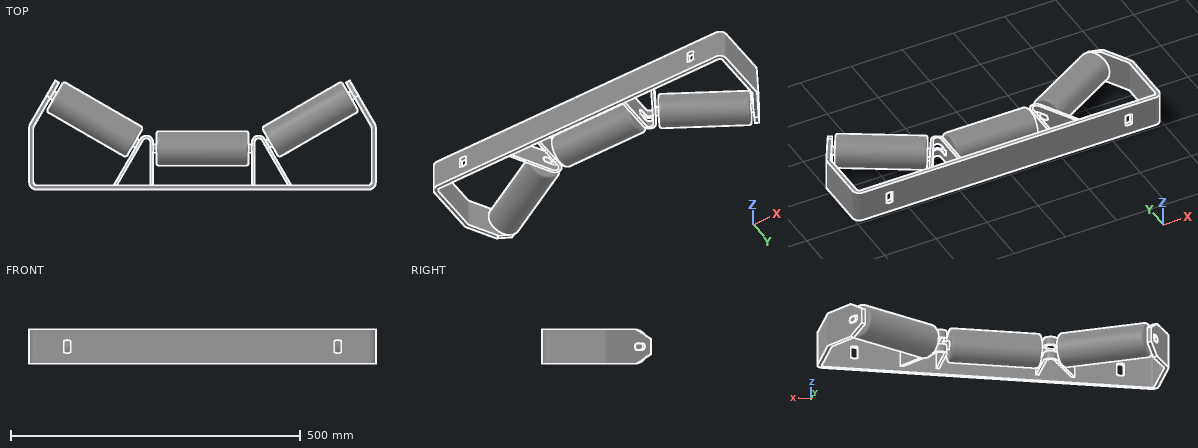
import cadquery as cq
import math

LENGTH = 600.0
FRAME_DEPTH = 189.0
FRAME_HEIGHT = 60.0
FRAME_THICKNESS = 8.0
BEND_INNER_RADIUS = 5.5
BEND_OUTER_RADIUS = BEND_INNER_RADIUS + FRAME_THICKNESS
ARM_BEND_Y = 110.5
ARM_TIP_HEIGHT = 26.5
ARM_TAPER_LENGTH = 30.0

MOUNT_HOLE_X = 234.0
MOUNT_HOLE_DIAMETER = 23.0
MOUNT_HOLE_WIDTH = 12.5

TILT = 30.0
TILT_SIN = math.sin(math.radians(TILT))
TILT_COS = math.cos(math.radians(TILT))
TILT_TAN = TILT_SIN / TILT_COS

ROLLER_DIAMETER = 60.0
ROLLER_LENGTH = 159.5
ROLLER_EDGE_FILLET = 5.0
AXLE_DIAMETER = 15.0
AXLE_STUB_LENGTH = 5.5
AXLE_TIP_WIDTH = 10.0
CENTRE_ROLLER_Y = 71.5
SUPPORT_SPAN = ROLLER_LENGTH + 2 * AXLE_STUB_LENGTH

AXLE_SLOT_WIDTH = 12.0
AXLE_SLOT_LENGTH = 20.5
AXLE_SLOT_DROP = 2.0
AXLE_SLOT_BOTTOM = AXLE_SLOT_LENGTH / 2 - AXLE_SLOT_DROP
ARM_AXLE_Y = 168.0

BRACKET_THICKNESS = 5.0
BRACKET_HEIGHT = 40.0
BRACKET_TOP_Y = 93.5


def arm_outer_x(y):
    """X of the left arm's outer face at height y."""
    return -LENGTH / 2 + (y - ARM_BEND_Y) * TILT_TAN


X_AXIS = cq.Vector(1, 0, 0)
LEFT_AXIS = cq.Vector(TILT_COS, -TILT_SIN, 0)
ARM_DIRECTION = cq.Vector(TILT_SIN, TILT_COS, 0)
ARM_AXLE_POINT = cq.Vector(arm_outer_x(ARM_AXLE_Y), ARM_AXLE_Y, 0)
LEFT_ROLLER_CENTRE = ARM_AXLE_POINT + LEFT_AXIS * (FRAME_THICKNESS + SUPPORT_SPAN / 2)
LEFT_ROLLER_INNER_END = LEFT_ROLLER_CENTRE + LEFT_AXIS * (SUPPORT_SPAN / 2)
CENTRE_ROLLER_CENTRE = cq.Vector(0, CENTRE_ROLLER_Y, 0)
CENTRE_ROLLER_LEFT_END = CENTRE_ROLLER_CENTRE - X_AXIS * (SUPPORT_SPAN / 2)

AXLE_END_GAP = CENTRE_ROLLER_LEFT_END.x - LEFT_ROLLER_INNER_END.x
BRACKET_OUTER_RADIUS = (
    (AXLE_END_GAP * TILT_COS + (LEFT_ROLLER_INNER_END.y - BRACKET_TOP_Y) * TILT_SIN)
    / (1 + TILT_COS - TILT_SIN)
)
BRACKET_INNER_RADIUS = BRACKET_OUTER_RADIUS - BRACKET_THICKNESS
BRACKET_BEND_X = CENTRE_ROLLER_LEFT_END.x - BRACKET_OUTER_RADIUS
BRACKET_BEND_Y = BRACKET_TOP_Y - BRACKET_OUTER_RADIUS


def mirrored(shape):
    """The copy of a shape on the other side of the YZ plane."""
    return shape.mirror("YZ")


def plane_across(axis, point):
    """Plane square to a horizontal axis, with its local x along Z."""
    return cq.Plane(origin=point.toTuple(), xDir=(0, 0, 1), normal=axis.toTuple())


def centred_cylinder(diameter, length):
    return cq.Workplane("XY", origin=(0, 0, -length / 2)).circle(diameter / 2).extrude(length)



def make_roller(centre, axis, start_tip_length, end_tip_length):
    """Roller with its axle along the given axis and each flattened tip filling its support."""
    shell = centred_cylinder(ROLLER_DIAMETER, ROLLER_LENGTH).edges().fillet(ROLLER_EDGE_FILLET)
    stubs = centred_cylinder(AXLE_DIAMETER, SUPPORT_SPAN)
    axle_length = SUPPORT_SPAN + start_tip_length + end_tip_length
    axle = cq.Workplane("XY").circle(AXLE_DIAMETER / 2).extrude(axle_length)
    flats = cq.Workplane("XY").rect(AXLE_TIP_WIDTH, AXLE_DIAMETER).extrude(axle_length)
    flat_axle = axle.intersect(flats).translate((0, 0, -SUPPORT_SPAN / 2 - start_tip_length))
    roller = shell.union(stubs).union(flat_axle)
    return roller.val().moved(plane_across(axis, centre).location)



def frame_strip():
    """Bent strip without holes or tapers."""
    half = LENGTH / 2
    inner_half = half - FRAME_THICKNESS
    inner_bend_y = ARM_BEND_Y - FRAME_THICKNESS * math.tan(math.radians(TILT / 2))
    tip_outer_x = arm_outer_x(FRAME_DEPTH)
    left_outline = [
        (-half, 0),
        (-half, ARM_BEND_Y),
        (tip_outer_x, FRAME_DEPTH),
        (tip_outer_x + FRAME_THICKNESS * TILT_COS, FRAME_DEPTH - FRAME_THICKNESS * TILT_SIN),
        (-inner_half, inner_bend_y),
        (-inner_half, FRAME_THICKNESS),
    ]
    right_outline = [(-x, y) for x, y in reversed(left_outline)]
    strip = cq.Workplane("XY").polyline(left_outline + right_outline).close()
    strip = strip.extrude(FRAME_HEIGHT / 2, both=True)

    outer_bends = [(half, 0), (half, ARM_BEND_Y)]
    inner_bends = [(inner_half, FRAME_THICKNESS), (inner_half, inner_bend_y)]
    for bends, radius in ((outer_bends, BEND_OUTER_RADIUS), (inner_bends, BEND_INNER_RADIUS)):
        for x, y in bends:
            for side in (-1, 1):
                corner = cq.selectors.NearestToPointSelector((side * x, y, 0))
                strip = strip.edges("|Z").edges(corner).fillet(radius)
    return strip


def arm_taper_cutters():
    """Wedges that taper the tip of the left arm, above and below."""
    tip = cq.Vector(arm_outer_x(FRAME_DEPTH), FRAME_DEPTH, 0)
    tip_plane = cq.Plane(origin=tip.toTuple(), xDir=ARM_DIRECTION.toTuple(), normal=LEFT_AXIS.toTuple())
    wedge = (
        cq.Workplane(tip_plane)
        .moveTo(0, ARM_TIP_HEIGHT / 2)
        .lineTo(0, FRAME_HEIGHT / 2)
        .lineTo(-ARM_TAPER_LENGTH, FRAME_HEIGHT / 2)
        .close()
        .extrude(FRAME_THICKNESS)
    )
    return [wedge, wedge.mirror("XY")]


def arm_slot_cutter():
    centre = ARM_AXLE_POINT + ARM_DIRECTION * AXLE_SLOT_DROP
    slot = cq.Workplane(plane_across(LEFT_AXIS, centre)).slot2D(AXLE_SLOT_LENGTH, AXLE_SLOT_WIDTH, 90)
    return slot.extrude(FRAME_THICKNESS)


def mount_hole_cutter():
    hole = cq.Workplane("XZ").circle(MOUNT_HOLE_DIAMETER / 2).extrude(-FRAME_THICKNESS)
    sides = cq.Workplane("XY").box(MOUNT_HOLE_WIDTH, 2 * FRAME_THICKNESS, MOUNT_HOLE_DIAMETER)
    return hole.intersect(sides).translate((-MOUNT_HOLE_X, 0, 0))


def make_frame():
    frame = frame_strip()
    for cutter in [*arm_taper_cutters(), arm_slot_cutter(), mount_hole_cutter()]:
        frame = frame.cut(cutter).cut(mirrored(cutter))
    return frame.val()



def bend_point(radius, angle):
    """Point on the bracket bend, with the angle in degrees from +X."""
    radians = math.radians(angle)
    return (BRACKET_BEND_X + radius * math.cos(radians), BRACKET_BEND_Y + radius * math.sin(radians))


def bracket_strip():
    """Left arch: an upright leg, a bend and a leg square to the left roller."""
    bend_end = 180 - TILT
    bend_middle = bend_end / 2

    def sloping_foot(radius):
        x, y = bend_point(radius, bend_end)
        return (x - (y - FRAME_THICKNESS) * TILT_TAN, FRAME_THICKNESS)

    outer, inner = BRACKET_OUTER_RADIUS, BRACKET_INNER_RADIUS
    strip = (
        cq.Workplane("XY")
        .moveTo(*sloping_foot(outer))
        .lineTo(*bend_point(outer, bend_end))
        .threePointArc(bend_point(outer, bend_middle), bend_point(outer, 0))
        .lineTo(BRACKET_BEND_X + outer, FRAME_THICKNESS)
        .lineTo(BRACKET_BEND_X + inner, FRAME_THICKNESS)
        .lineTo(*bend_point(inner, 0))
        .threePointArc(bend_point(inner, bend_middle), bend_point(inner, bend_end))
        .lineTo(*sloping_foot(inner))
        .close()
    )
    return strip.extrude(BRACKET_HEIGHT / 2, both=True)


def open_slot_cutter(axle_end, into_bracket):
    """Slot with a round bottom just below an axle end, open upward over the bend."""
    plane = plane_across(into_bracket, axle_end)
    up = 1 if plane.yDir.y > 0 else -1
    half_width = AXLE_SLOT_WIDTH / 2
    round_y = up * (half_width - AXLE_SLOT_BOTTOM)
    top_y = up * BRACKET_TOP_Y
    profile = (
        cq.Workplane(plane)
        .moveTo(-half_width, top_y)
        .lineTo(-half_width, round_y)
        .threePointArc((0, -up * AXLE_SLOT_BOTTOM), (half_width, round_y))
        .lineTo(half_width, top_y)
        .close()
    )
    return profile.extrude(BRACKET_OUTER_RADIUS)


def make_bracket():
    bracket = bracket_strip()
    bracket = bracket.cut(open_slot_cutter(CENTRE_ROLLER_LEFT_END, -X_AXIS))
    bracket = bracket.cut(open_slot_cutter(LEFT_ROLLER_INNER_END, LEFT_AXIS))
    return bracket.val()



frame = make_frame()
left_bracket = make_bracket()
brackets = [left_bracket, mirrored(left_bracket)]
left_roller = make_roller(LEFT_ROLLER_CENTRE, LEFT_AXIS, FRAME_THICKNESS, BRACKET_THICKNESS)
centre_roller = make_roller(CENTRE_ROLLER_CENTRE, X_AXIS, BRACKET_THICKNESS, BRACKET_THICKNESS)
rollers = [left_roller, centre_roller, mirrored(left_roller)]

result = cq.Compound.makeCompound([frame, *brackets, *rollers])